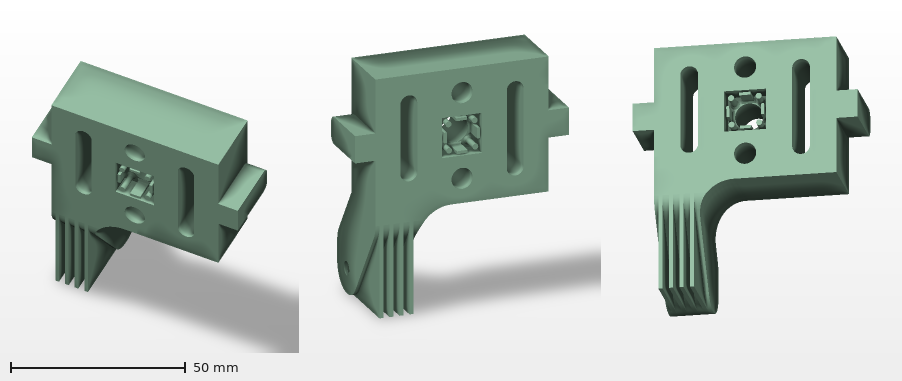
import cadquery as cq
import math


total_width = 65.5
total_depth = 30.45
total_height = 73.0

body_width = 53.1
body_depth = 19.2
body_height = 41.2
body_left = -body_width / 2
body_bottom = total_height - body_height
body_mid_z = body_bottom + body_height / 2

tab_height = 8.3
tab_edge_radius = 2.5

leg_width = 12.9
leg_slope = math.radians(54.8)
leg_round_radius = 7.5
leg_front_corner_z = 25.85
web_radius = 10.3
leg_right = body_left + leg_width
leg_mid_x = body_left + leg_width / 2

hinge_diameter = 4.3
hinge_depth = 1.0

fin_count = 4
fin_pitch = 3.1
fin_thickness = 1.2

slot_offset = 16.3
slot_width = 5.2
slot_top = 66.8
left_slot_bottom = 40.6
right_slot_bottom = 38.05
bolt_hole_diameter = 6.4
bolt_hole_offset = 13.1

socket_size = 12.2
socket_depth = 6.0
centre_hole_diameter = 8.2
contact_count = 4
contact_twist = 1.2
foot_flare = 0.5
pin_offset = 4.0
pin_radius = 0.9
key_outer_offset = 5.5
key_width = 0.9
key_length = 3.3


def box_between(x_range, y_range, z_range):
    """Box spanning the given (low, high) ranges."""
    corner = cq.Vector(x_range[0], y_range[0], z_range[0])
    sizes = [high - low for low, high in (x_range, y_range, z_range)]
    return cq.Workplane(cq.Solid.makeBox(*sizes, corner))


def front_plane(y=0.0):
    """Plane facing forward: local x is X, local y is Z from the body middle."""
    return cq.Workplane("XZ", origin=(0, y, body_mid_z))


def make_tabs():
    """One bar across the whole width, rounded along its two back edges."""
    bar = front_plane().rect(total_width, tab_height).extrude(-body_depth)
    return bar.edges("|X and >Y").fillet(tab_edge_radius)


def make_leg():
    """Leaning leg with rounded corners and a concave web to the body's underside."""
    run_per_rise = 1 / math.tan(leg_slope)
    front_foot_y = leg_front_corner_z * run_per_rise
    back_corner_z = body_bottom - (total_depth - body_depth) / run_per_rise
    web_right = leg_right + web_radius
    web_bottom = body_bottom - web_radius
    leg = (
        cq.Workplane("YZ", origin=(body_left, 0, 0))
        .moveTo(0, body_bottom)
        .lineTo(0, leg_front_corner_z)
        .lineTo(front_foot_y, 0)
        .lineTo(total_depth, 0)
        .lineTo(total_depth, back_corner_z)
        .lineTo(body_depth, body_bottom)
        .close()
        .extrude(leg_width + web_radius)
    )
    leg = leg.edges("|X").edges("not >Z").fillet(leg_round_radius)
    front_outline = (
        cq.Workplane("XZ")
        .moveTo(body_left, 0)
        .lineTo(leg_right, 0)
        .lineTo(leg_right, web_bottom)
        .radiusArc((web_right, body_bottom), web_radius)
        .lineTo(body_left, body_bottom)
        .close()
        .extrude(-total_depth)
    )
    return leg.intersect(front_outline)


def make_fins():
    """Evenly spaced upright fins filling the corner in front of the leg."""
    round_centre = (total_depth - leg_round_radius, leg_round_radius)
    fin_outline = [(0, 0), (round_centre[0], 0), round_centre, (0, body_bottom)]
    fins = cq.Workplane()
    for index in range(fin_count):
        fin_mid_x = leg_mid_x + (index - (fin_count - 1) / 2) * fin_pitch
        fin_plane = cq.Workplane("YZ", origin=(fin_mid_x, 0, 0))
        fin = fin_plane.polyline(fin_outline).close().extrude(fin_thickness / 2, both=True)
        fins = fins.union(fin)
    return fins


def make_hinge_hole():
    """Shallow round hole centred on the leg's rounded lower end."""
    hinge_y = total_depth - leg_round_radius
    return (
        cq.Workplane("YZ", origin=(body_left, hinge_y, leg_round_radius))
        .circle(hinge_diameter / 2)
        .extrude(hinge_depth)
    )


def make_slot(x, bottom):
    """Upright round-ended slot through the body."""
    mid_z = (slot_top + bottom) / 2
    return (
        front_plane()
        .center(x, mid_z - body_mid_z)
        .slot2D(slot_top - bottom, slot_width, 90)
        .extrude(-body_depth)
    )


def make_round_holes():
    """Two bolt holes above and below the centre hole, all through the body."""
    bolt_holes = (
        front_plane()
        .pushPoints([(0, -bolt_hole_offset), (0, bolt_hole_offset)])
        .circle(bolt_hole_diameter / 2)
        .extrude(-body_depth)
    )
    centre_hole = front_plane().circle(centre_hole_diameter / 2).extrude(-body_depth)
    return bolt_holes.union(centre_hole)


def make_pin():
    """Round pin on the socket floor, with a conical foot."""
    floor = front_plane(socket_depth).center(pin_offset, pin_offset)
    shaft = floor.circle(pin_radius).extrude(socket_depth)
    foot = (
        floor.circle(pin_radius + foot_flare)
        .workplane(offset=foot_flare)
        .circle(pin_radius)
        .loft()
    )
    return shaft.union(foot)


def make_key():
    """Flat key on the socket floor, its foot flared on every side but the outer one."""
    key_z = key_outer_offset - key_width / 2
    floor = front_plane(socket_depth).center(0, key_z)
    blade = floor.rect(key_length, key_width).extrude(socket_depth)
    foot = (
        floor.center(0, -foot_flare / 2)
        .rect(key_length + 2 * foot_flare, key_width + foot_flare)
        .workplane(offset=foot_flare)
        .center(0, foot_flare / 2)
        .rect(key_length, key_width)
        .loft()
    )
    return blade.union(foot)


body = box_between(
    (body_left, body_left + body_width), (0, body_depth), (body_bottom, total_height)
)
socket = front_plane().rect(socket_size, socket_size).extrude(-socket_depth)

result = body.union(make_tabs()).union(make_leg()).union(make_fins())
result = result.cut(make_hinge_hole())
result = result.cut(make_slot(-slot_offset, left_slot_bottom))
result = result.cut(make_slot(slot_offset, right_slot_bottom))
result = result.cut(socket)

axis_start = (0, 0, body_mid_z)
axis_end = (0, -1, body_mid_z)
for index in range(contact_count):
    angle = contact_twist + index * 360 / contact_count
    for contact in (make_pin(), make_key()):
        result = result.union(contact.rotate(axis_start, axis_end, angle))

result = result.cut(make_round_holes())